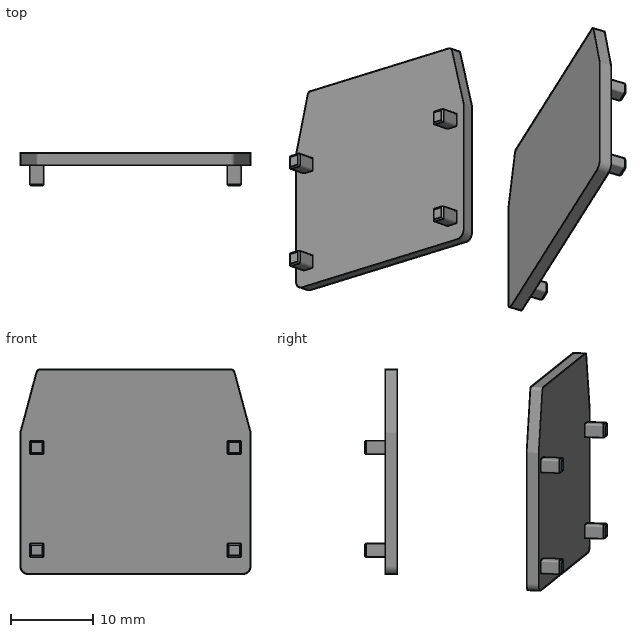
import cadquery as cq
import math

width = 28.0
height = 24.9
thickness = 1.5
shoulder_drop = 7.67
taper_angle = 15.0
top_radius = 0.5
bottom_radius = 1.0

peg_length = 2.5
peg_width = 1.7
peg_height = 1.68
peg_edge_radius = 0.22
peg_tip_chamfer = 0.21
peg_pitch_x = 24.0
peg_bottom_margin = 2.9
peg_pitch_z = 12.5


def make_plate():
    """Plate standing in XZ, front face at Y = 0, with a tapered upper part."""
    half_width = width / 2
    half_top = half_width - shoulder_drop * math.tan(math.radians(taper_angle))
    shoulder_z = height - shoulder_drop
    outline = [
        (-half_width, 0),
        (half_width, 0),
        (half_width, shoulder_z),
        (half_top, height),
        (-half_top, height),
        (-half_width, shoulder_z),
    ]
    plate = cq.Workplane("XZ").polyline(outline).close().extrude(-thickness)
    plate = plate.faces("<Z").edges("|Y").fillet(bottom_radius)
    return plate.faces(">Z").edges("|Y").fillet(top_radius)


def make_peg():
    """Peg pointing to -Y with rounded long edges and a chamfered tip."""
    peg = cq.Workplane("XZ").rect(peg_width, peg_height).extrude(peg_length)
    peg = peg.edges("|Y").fillet(peg_edge_radius)
    return peg.faces("<Y").chamfer(peg_tip_chamfer)


result = make_plate()
peg = make_peg()
peg_x = peg_pitch_x / 2
for x in (-peg_x, peg_x):
    for z in (peg_bottom_margin, peg_bottom_margin + peg_pitch_z):
        result = result.union(peg.translate((x, 0, z)))